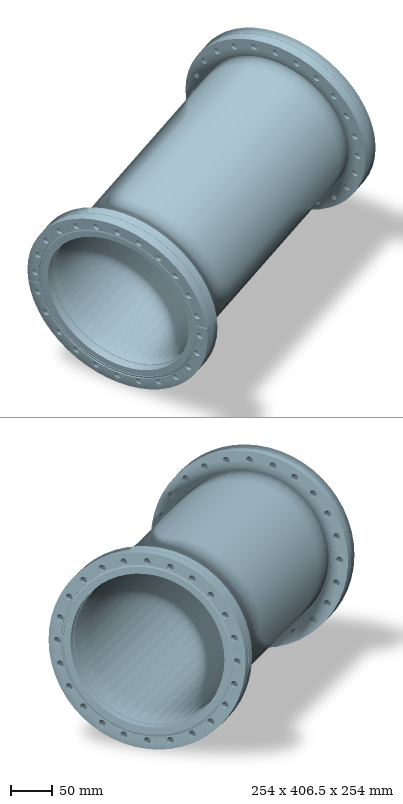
import cadquery as cq

LENGTH = 406.5
HALF_LENGTH = LENGTH / 2

FLANGE_DIAMETER = 254.0
FLANGE_THICKNESS = 24.0
FLANGE_BORE = 198.5

TUBE_DIAMETER = 203.0
TUBE_BORE = 197.0
SOCKET_DIAMETER = 203.5
SOCKET_START = 12.5

RECESS_DIAMETER = 222.0
RECESS_DEPTH = 1.2
KNIFE_DIAMETER = 216.2
KNIFE_HEIGHT = 1.0

RING_COUNTERBORE = 222.5
RING_BORE = 211.0
RING_CLEARANCE = RING_COUNTERBORE - RECESS_DIAMETER
INSERT_NECK_DIAMETER = RING_BORE - RING_CLEARANCE
SHOULDER_START = FLANGE_THICKNESS / 2

BOLT_COUNT = 24
BOLT_HOLE_DIAMETER = 8.5
BOLT_CIRCLE_DIAMETER = 232.0
BOLT_PITCH = 360 / BOLT_COUNT

RIM_GROOVE_WIDTH = 1.2
RIM_GROOVE_DEPTH = 0.5

LEAK_SLOT_WIDTH = 2.0
LEAK_SLOT_DEPTH = 1.0
LEAK_SLOT_OVERRUN = 0.5
LEAK_SLOT_ANGLES = [BOLT_PITCH / 2, BOLT_PITCH / 2 + 180]


def turned(profile):
    """Revolve (diameter, depth) points around Y; depth runs in from the -Y end face."""
    points = [(diameter / 2, depth - HALF_LENGTH) for diameter, depth in profile]
    return cq.Workplane("XY").polyline(points).close().revolve(360, (0, 0, 0), (0, 1, 0))


def rim_profile():
    """Outer profile of a flange, from the outer face to the inner face."""
    groove_floor = FLANGE_DIAMETER - 2 * RIM_GROOVE_DEPTH
    groove_start = (FLANGE_THICKNESS - RIM_GROOVE_WIDTH) / 2
    groove_end = groove_start + RIM_GROOVE_WIDTH
    return [
        (FLANGE_DIAMETER, 0),
        (FLANGE_DIAMETER, groove_start),
        (groove_floor, groove_start),
        (groove_floor, groove_end),
        (FLANGE_DIAMETER, groove_end),
        (FLANGE_DIAMETER, FLANGE_THICKNESS),
    ]


def socket_profile():
    """Inner profile of a weld flange, from the inner face to the knife edge."""
    return [
        (SOCKET_DIAMETER, FLANGE_THICKNESS),
        (SOCKET_DIAMETER, SOCKET_START),
        (FLANGE_BORE, SOCKET_START),
        (FLANGE_BORE, RECESS_DEPTH),
        (KNIFE_DIAMETER, RECESS_DEPTH),
        (KNIFE_DIAMETER, RECESS_DEPTH - KNIFE_HEIGHT),
    ]


def cut_bolt_holes(flange):
    holes = (
        cq.Workplane("XZ", origin=(0, -HALF_LENGTH, 0))
        .polarArray(BOLT_CIRCLE_DIAMETER / 2, 0, 360, BOLT_COUNT)
        .circle(BOLT_HOLE_DIAMETER / 2)
        .extrude(-FLANGE_THICKNESS)
    )
    return flange.cut(holes)


def cut_leak_slots(flange):
    """Cut the slots outwards from the recess wall to the rim."""
    inner_radius = RECESS_DIAMETER / 2 - LEAK_SLOT_OVERRUN
    outer_radius = FLANGE_DIAMETER / 2 + LEAK_SLOT_OVERRUN
    slot = (
        cq.Workplane("XY")
        .box(
            outer_radius - inner_radius,
            LEAK_SLOT_DEPTH,
            LEAK_SLOT_WIDTH,
            centered=(False, False, True),
        )
        .translate((inner_radius, -HALF_LENGTH, 0))
    )
    for angle in LEAK_SLOT_ANGLES:
        flange = flange.cut(slot.rotate((0, 0, 0), (0, 1, 0), -angle))
    return flange


def make_tube():
    tube_length = LENGTH - 2 * SOCKET_START
    return (
        cq.Workplane("XZ", origin=(0, -tube_length / 2, 0))
        .circle(TUBE_DIAMETER / 2)
        .circle(TUBE_BORE / 2)
        .extrude(-tube_length)
    )


def make_rotatable_ring():
    bore = [
        (RING_BORE, FLANGE_THICKNESS),
        (RING_BORE, SHOULDER_START),
        (RING_COUNTERBORE, SHOULDER_START),
        (RING_COUNTERBORE, 0),
    ]
    return cut_leak_slots(cut_bolt_holes(turned(rim_profile() + bore)))


def make_insert():
    outside = [
        (RECESS_DIAMETER, RECESS_DEPTH),
        (RECESS_DIAMETER, SHOULDER_START),
        (INSERT_NECK_DIAMETER, SHOULDER_START),
        (INSERT_NECK_DIAMETER, FLANGE_THICKNESS),
    ]
    return turned(outside + socket_profile())


def make_fixed_flange():
    """Built at the -Y end, then turned about Z to face +Y."""
    recess = [
        (RECESS_DIAMETER, RECESS_DEPTH),
        (RECESS_DIAMETER, 0),
    ]
    blank = turned(rim_profile() + socket_profile() + recess)
    flange = cut_leak_slots(cut_bolt_holes(blank))
    return flange.rotate((0, 0, 0), (0, 0, 1), 180)


tube = make_tube()
rotatable_ring = make_rotatable_ring()
insert = make_insert()
fixed_flange = make_fixed_flange()

result = cq.Compound.makeCompound(
    [tube.val(), rotatable_ring.val(), insert.val(), fixed_flange.val()]
)